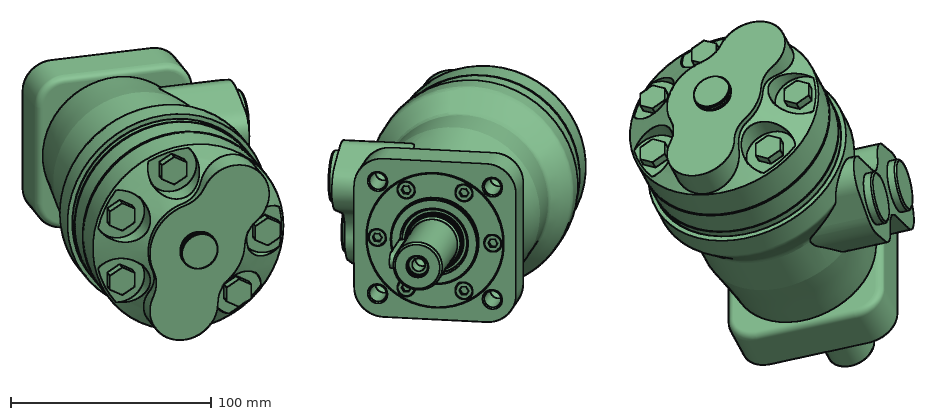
import cadquery as cq
import math


SHAFT_TAPER_X = 43.3
SHAFT_COLLAR_X = 44.8
SPIGOT_X = 46.0
FLANGE_X = 48.6
FLANGE_BACK_X = 72.2
BARREL_X = 105.6
FLARE_X = 129.8
HOUSING_END_X = 159.5
SPACER_END_X = 163.5
RING_END_X = 177.6
COVER_RIM_X = 194.5
CONE_END_X = 207.0
COVER_END_X = 210.0
MOTOR_LENGTH = 214.2

FLANGE_WIDTH = 82.3
FLANGE_CORNER_RADIUS = 15.0
FLANGE_BACK_FILLET = 3.5
MOUNT_HOLE_OFFSET = 29.1
MOUNT_HOLE_DIAMETER = 8.5
MOUNT_CHAMFER_DIAMETER = 10.0
MOUNT_HOLE_DEPTH = 17.1
DRILL_POINT_ANGLE = 118.0

NECK_RADIUS = 38.0
BARREL_RADIUS = 42.8
COLLAR_RADIUS = 52.3
FLARE_ANGLE = 30.0
FLARE_BLEND_RADIUS = 6.5

PORT_FACE_Y = 55.3
BLOCK_CENTRE_X = 110.3
PORT_OFFSET_X = 18.0
PORT_OFFSET_Z = 18.0
LOBE_RADIUS = 18.5
LOBE_END_RADIUS = 12.5
LOBE_END_OFFSET = 15.6
LOBE_FLANK_ANGLE = 20.0
LOBE_FILLET_RADIUS = 12.9
TOUCHING = 2.14e-06
PORT_CAP_DIAMETER = 26.4
PORT_CAP_Y = 60.0
PORT_CAP_CHAMFER = 0.9

COVER_DIAMETER = 70.0
COVER_DEPTH = 17.1
COVER_CHAMFER = 0.5
SPIGOT_RADIUS = 22.3
SPIGOT_CHAMFER = 0.6
SEAL_RECESS_RADIUS = 16.5
SEAL_CHAMFER = 0.9
SEAL_RECESS_DEPTH = 1.7
SCREW_COUNT = 6
SCREW_CIRCLE_RADIUS = 29.4
SCREW_POCKET_DIAMETER = 9.0
SCREW_HEAD_DIAMETER = 8.4
SCREW_POCKET_DEPTH = 2.1
SCREW_SOCKET_SIZE = 4.7

SHAFT_RADIUS = 12.5
SHAFT_TIP_CHAMFER = 1.0
SHAFT_TAPER_RADIUS = 13.5
SHAFT_COLLAR_RADIUS = 14.8
SHAFT_COLLAR_CHAMFER = 0.6
CENTRE_BORE_DIAMETER = 10.0
CENTRE_BORE_CHAMFER = 0.6
CENTRE_BORE_DEPTH = 3.2
CENTRE_HOLE_DIAMETER = 6.6
CENTRE_HOLE_DEPTH = 12.9
KEY_X = 5.4
KEY_LENGTH = 32.0
KEY_WIDTH = 8.0
KEY_TOP_Y = 15.2

STACK_RADIUS = 50.0
STACK_CHAMFER = 0.5
HUB_RADIUS = 24.9
BOLT_COUNT = 7
BOLT_CIRCLE_RADIUS = 40.0
BOLT_RECESS_DIAMETER = 26.0
BOLT_HEAD_SIZE = 15.0
BOLT_HEAD_HEIGHT = 4.5
BOLT_SEAT_X = 195.2
BOSS_CIRCLE_RADIUS = 31.7
BOSS_RADIUS = 17.8
BOSS_BLEND_RADIUS = 16.0
BOSS_BOLTS = (1, 5)
PLUG_NECK_DIAMETER = 18.0
PLUG_DIAMETER = 19.0
PLUG_CAP_DIAMETER = 18.6
PLUG_FLANGE_X = 211.3
PLUG_CAP_X = 213.2


def polar(centre, radius, degrees):
    """Point at the given angle on a circle."""
    angle = math.radians(degrees)
    return (centre[0] + radius * math.cos(angle), centre[1] + radius * math.sin(angle))


def across(x):
    """Workplane square to the motor axis, with local axes Y and Z."""
    return cq.Workplane("YZ", origin=(x, 0, 0))


def disc(x_start, x_end, radius):
    return across(x_start).circle(radius).extrude(x_end - x_start)


def turned(outline):
    """Solid of revolution about the motor axis from an (x, radius) outline."""
    return outline.close().revolve(360, (0, 0, 0), (1, 0, 0))


def drilled_hole(x, depth, diameter):
    """Cutter for a blind hole along +X with a conical drill point."""
    radius = diameter / 2
    point_length = radius / math.tan(math.radians(DRILL_POINT_ANGLE / 2))
    outline = (
        cq.Workplane("XY")
        .moveTo(x, 0)
        .lineTo(x, radius)
        .lineTo(x + depth, radius)
        .lineTo(x + depth + point_length, 0)
    )
    return turned(outline)


def chamfered_mouth(x, radius, chamfer):
    """Cutter for a 45 degree chamfer at the mouth of a hole that opens at x and runs along +X."""
    outline = (
        cq.Workplane("XY")
        .moveTo(x, 0)
        .lineTo(x, radius + chamfer)
        .lineTo(x + chamfer, radius)
        .lineTo(x + chamfer, 0)
    )
    return turned(outline)


def make_flange():
    thickness = FLANGE_BACK_X - FLANGE_X
    flange = across(FLANGE_X).rect(FLANGE_WIDTH, FLANGE_WIDTH).extrude(thickness)
    flange = flange.edges("|X").fillet(FLANGE_CORNER_RADIUS)
    return flange.faces(">X").edges().fillet(FLANGE_BACK_FILLET)


def make_barrel():
    """Tapered neck, barrel and flared collar, with blends at both ends of the flare."""
    flare_length = (COLLAR_RADIUS - BARREL_RADIUS) / math.tan(math.radians(FLARE_ANGLE))
    collar_x = FLARE_X + flare_length
    blend = FLARE_BLEND_RADIUS * math.tan(math.radians(FLARE_ANGLE / 2))
    blend_x = blend * math.cos(math.radians(FLARE_ANGLE))
    blend_r = blend * math.sin(math.radians(FLARE_ANGLE))
    outline = (
        cq.Workplane("XY")
        .moveTo(FLANGE_X + COVER_DEPTH, 0)
        .lineTo(FLANGE_X + COVER_DEPTH, NECK_RADIUS)
        .lineTo(FLANGE_BACK_X, NECK_RADIUS)
        .lineTo(BARREL_X, BARREL_RADIUS)
        .lineTo(FLARE_X - blend, BARREL_RADIUS)
        .tangentArcPoint((FLARE_X + blend_x, BARREL_RADIUS + blend_r), relative=False)
        .lineTo(collar_x - blend_x, COLLAR_RADIUS - blend_r)
        .tangentArcPoint((collar_x + blend, COLLAR_RADIUS), relative=False)
        .lineTo(HOUSING_END_X, COLLAR_RADIUS)
        .lineTo(HOUSING_END_X, 0)
    )
    return turned(outline)


def lobe_outline():
    """Arcs of the -X/+Z lobe as (centre, radius, start angle, end angle), about the block centre.

    Tangent straight lines join the arcs; the last arc is the fillet to the other lobe.
    """
    centre = (-PORT_OFFSET_X, PORT_OFFSET_Z)
    near_end = (centre[0] + LOBE_END_OFFSET, centre[1])
    far_end = (centre[0] - LOBE_END_OFFSET, centre[1])
    tangent = math.degrees(math.acos((LOBE_RADIUS - LOBE_END_RADIUS) / LOBE_END_OFFSET))

    other_end = (-far_end[0], -far_end[1])
    flank_normal = 90 - LOBE_FLANK_ANGLE
    flank_start = polar(other_end, LOBE_END_RADIUS, flank_normal)
    offset_start = polar(flank_start, LOBE_FILLET_RADIUS, flank_normal)
    along = polar((0, 0), 1, flank_normal + 90)
    gap = (offset_start[0] - near_end[0], offset_start[1] - near_end[1])
    half_b = gap[0] * along[0] + gap[1] * along[1]
    reach = LOBE_END_RADIUS + LOBE_FILLET_RADIUS
    slide = -half_b - math.sqrt(half_b**2 - gap[0] ** 2 - gap[1] ** 2 + reach**2)
    fillet = (offset_start[0] + slide * along[0], offset_start[1] + slide * along[1])
    touch = math.degrees(math.atan2(fillet[1] - near_end[1], fillet[0] - near_end[0]))
    fillet_start = touch + 180
    fillet_end = flank_normal + 180

    return [
        (far_end, LOBE_END_RADIUS, 180 + flank_normal, 180 - tangent),
        (centre, LOBE_RADIUS, 180 - tangent, tangent),
        (near_end, LOBE_END_RADIUS, tangent, touch),
        (fillet, LOBE_FILLET_RADIUS, fillet_start, fillet_end),
    ]


def make_port_block():
    arcs = lobe_outline()
    arcs += [((-c[0], -c[1]), r, start + 180, end + 180) for c, r, start, end in arcs]
    pen = polar(*arcs[0][:3])
    outline = cq.Workplane("XZ", origin=(BLOCK_CENTRE_X, 0, 0)).moveTo(*pen)
    for centre, radius, start, end in arcs:
        arc_start = polar(centre, radius, start)
        if math.dist(pen, arc_start) > TOUCHING:
            outline = outline.lineTo(*arc_start)
        pen = polar(centre, radius, end)
        outline = outline.threePointArc(polar(centre, radius, (start + end) / 2), pen)
    return outline.close().extrude(-PORT_FACE_Y)


def make_port_caps():
    ports = [(-PORT_OFFSET_X, PORT_OFFSET_Z), (PORT_OFFSET_X, -PORT_OFFSET_Z)]
    return (
        cq.Workplane("XZ", origin=(BLOCK_CENTRE_X, PORT_FACE_Y, 0))
        .pushPoints(ports)
        .circle(PORT_CAP_DIAMETER / 2)
        .extrude(PORT_FACE_Y - PORT_CAP_Y)
        .faces(">Y")
        .chamfer(PORT_CAP_CHAMFER)
    )


def mount_hole():
    """Cutter for one flange mounting hole with its chamfered mouth."""
    chamfer = (MOUNT_CHAMFER_DIAMETER - MOUNT_HOLE_DIAMETER) / 2
    hole = drilled_hole(FLANGE_X, MOUNT_HOLE_DEPTH, MOUNT_HOLE_DIAMETER)
    return hole.union(chamfered_mouth(FLANGE_X, MOUNT_HOLE_DIAMETER / 2, chamfer))


def make_housing():
    housing = make_flange().union(make_barrel()).union(make_port_block()).union(make_port_caps())
    housing = housing.cut(disc(FLANGE_X, FLANGE_X + COVER_DEPTH, COVER_DIAMETER / 2))
    hole = mount_hole()
    for side_y in (-1, 1):
        for side_z in (-1, 1):
            place = (0, side_y * MOUNT_HOLE_OFFSET, side_z * MOUNT_HOLE_OFFSET)
            housing = housing.cut(hole.translate(place))
    return housing


def make_front_cover():
    plate = disc(FLANGE_X, FLANGE_X + COVER_DEPTH, COVER_DIAMETER / 2)
    plate = plate.faces("<X").chamfer(COVER_CHAMFER)
    spigot = disc(SPIGOT_X, FLANGE_X, SPIGOT_RADIUS).faces("<X").chamfer(SPIGOT_CHAMFER)
    cover = plate.union(spigot)
    cover = cover.cut(disc(SPIGOT_X, FLANGE_X + COVER_DEPTH, SHAFT_COLLAR_RADIUS))
    cover = cover.cut(disc(SPIGOT_X, SPIGOT_X + SEAL_RECESS_DEPTH, SEAL_RECESS_RADIUS))
    cover = cover.cut(chamfered_mouth(SPIGOT_X, SEAL_RECESS_RADIUS, SEAL_CHAMFER))

    screws = across(FLANGE_X).polarArray(SCREW_CIRCLE_RADIUS, 0, 360, SCREW_COUNT)
    gaps = screws.circle(SCREW_POCKET_DIAMETER / 2).circle(SCREW_HEAD_DIAMETER / 2)
    cover = cover.cut(gaps.extrude(SCREW_POCKET_DEPTH))
    screws = across(FLANGE_X).polarArray(SCREW_CIRCLE_RADIUS, 0, 360, SCREW_COUNT)
    return cover.cut(screws.polygon(6, SCREW_SOCKET_SIZE).extrude(SCREW_POCKET_DEPTH))


def make_key():
    """Round-ended parallel key standing on the +Y side of the shaft."""
    return (
        cq.Workplane("XZ", origin=(KEY_X + KEY_LENGTH / 2, 0, 0))
        .slot2D(KEY_LENGTH, KEY_WIDTH)
        .extrude(-KEY_TOP_Y)
    )


def make_shaft():
    outline = (
        cq.Workplane("XY")
        .moveTo(0, 0)
        .lineTo(0, SHAFT_RADIUS - SHAFT_TIP_CHAMFER)
        .lineTo(SHAFT_TIP_CHAMFER, SHAFT_RADIUS)
        .lineTo(SHAFT_TAPER_X, SHAFT_RADIUS)
        .lineTo(SHAFT_COLLAR_X, SHAFT_TAPER_RADIUS)
        .lineTo(SHAFT_COLLAR_X, SHAFT_COLLAR_RADIUS - SHAFT_COLLAR_CHAMFER)
        .lineTo(SHAFT_COLLAR_X + SHAFT_COLLAR_CHAMFER, SHAFT_COLLAR_RADIUS)
        .lineTo(FLANGE_X + COVER_DEPTH, SHAFT_COLLAR_RADIUS)
        .lineTo(FLANGE_X + COVER_DEPTH, 0)
    )
    shaft = turned(outline).union(make_key())
    shaft = shaft.cut(disc(0, CENTRE_BORE_DEPTH, CENTRE_BORE_DIAMETER / 2))
    shaft = shaft.cut(chamfered_mouth(0, CENTRE_BORE_DIAMETER / 2, CENTRE_BORE_CHAMFER))
    return shaft.cut(drilled_hole(0, CENTRE_HOLE_DEPTH, CENTRE_HOLE_DIAMETER))


def make_spacer():
    return disc(HOUSING_END_X, SPACER_END_X, STACK_RADIUS).faces("<X").chamfer(STACK_CHAMFER)


def make_gear_ring():
    return disc(SPACER_END_X, RING_END_X, STACK_RADIUS).faces("<X or >X").chamfer(STACK_CHAMFER)


def make_boss():
    """Round boss towards +Y on the end cover, blended into the hub on both sides."""
    hub_reach = HUB_RADIUS + BOSS_BLEND_RADIUS
    boss_reach = BOSS_RADIUS + BOSS_BLEND_RADIUS
    square_sum = hub_reach**2 + BOSS_CIRCLE_RADIUS**2 - boss_reach**2
    hub_angle = math.degrees(math.acos(square_sum / (2 * hub_reach * BOSS_CIRCLE_RADIUS)))
    blend = polar((0, 0), hub_reach, hub_angle)
    boss = (BOSS_CIRCLE_RADIUS, 0)
    boss_angle = math.degrees(math.atan2(blend[1], blend[0] - boss[0]))
    blend_angle = (hub_angle + boss_angle) / 2 + 180
    on_hub = polar((0, 0), HUB_RADIUS, hub_angle)
    on_blend = polar(blend, BOSS_BLEND_RADIUS, blend_angle)
    on_boss = polar(boss, BOSS_RADIUS, boss_angle)
    return (
        across(COVER_RIM_X)
        .lineTo(*on_hub)
        .threePointArc(on_blend, on_boss)
        .threePointArc((BOSS_CIRCLE_RADIUS + BOSS_RADIUS, 0), (on_boss[0], -on_boss[1]))
        .threePointArc((on_blend[0], -on_blend[1]), (on_hub[0], -on_hub[1]))
        .close()
        .extrude(COVER_END_X - COVER_RIM_X)
    )


def make_end_cover():
    outline = (
        cq.Workplane("XY")
        .moveTo(RING_END_X, 0)
        .lineTo(RING_END_X, STACK_RADIUS)
        .lineTo(COVER_RIM_X, STACK_RADIUS)
        .lineTo(CONE_END_X, HUB_RADIUS)
        .lineTo(COVER_END_X, HUB_RADIUS)
        .lineTo(COVER_END_X, 0)
    )
    cover = turned(outline)
    pitch = 360 / BOLT_COUNT
    boss = make_boss()
    for place in BOSS_BOLTS:
        cover = cover.union(boss.rotate((0, 0, 0), (1, 0, 0), place * pitch))

    bolts = [
        polar((0, 0), BOLT_CIRCLE_RADIUS, place * pitch)
        for place in range(BOLT_COUNT)
        if place not in BOSS_BOLTS
    ]
    recesses = across(BOLT_SEAT_X).pushPoints(bolts).circle(BOLT_RECESS_DIAMETER / 2)
    cover = cover.cut(recesses.extrude(COVER_END_X - BOLT_SEAT_X))
    head = across(BOLT_SEAT_X).polygon(6, BOLT_HEAD_SIZE).extrude(BOLT_HEAD_HEIGHT)
    head = head.rotate((0, 0, 0), (1, 0, 0), 90)
    for y, z in bolts:
        cover = cover.union(head.translate((0, y, z)))

    cover = cover.union(disc(COVER_END_X, PLUG_FLANGE_X, PLUG_NECK_DIAMETER / 2))
    cover = cover.union(disc(PLUG_FLANGE_X, PLUG_CAP_X, PLUG_DIAMETER / 2))
    return cover.union(disc(PLUG_CAP_X, MOTOR_LENGTH, PLUG_CAP_DIAMETER / 2))


housing = make_housing()
front_cover = make_front_cover()
shaft = make_shaft()
spacer = make_spacer()
gear_ring = make_gear_ring()
end_cover = make_end_cover()

result = cq.Compound.makeCompound(
    [
        housing.val(),
        front_cover.val(),
        shaft.val(),
        spacer.val(),
        gear_ring.val(),
        end_cover.val(),
    ]
)